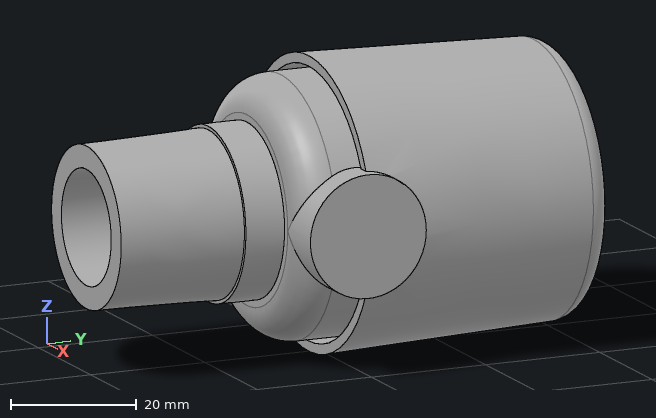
import cadquery as cq

collar_start = 21.4
body_start = 28.1
skirt_rim = 38.9
cap_end = 81.5

spigot_tip_radius = 13.4
spigot_root_radius = 13.9
collar_radius = 28.9 / 2
bore_radius = 19.1 / 2

body_radius = 21.6
body_fillet = 5.95
rim_radius = 48.5 / 2
rim_wall = 1.7
cap_shoulder_radius = 22.9
cap_fillet_length = 3.2
gap_depth = 24.45

port_radius = 20.3 / 2
port_end = 48.6 - rim_radius
port_center = body_start + port_radius

cap_shoulder = cap_end - cap_fillet_length
cap_taper = (rim_radius - cap_shoulder_radius) / (cap_shoulder - skirt_rim)


def cylinder(radius, start, end):
    """Cylinder about the Y axis between two stations."""
    return cq.Workplane("XZ", origin=(0, start, 0)).circle(radius).extrude(start - end)


def revolve_profile(profile):
    """Turn a closed (radius, station) profile about the Y axis."""
    return profile.close().revolve(360, (0, 0, 0), (0, 1, 0))


def make_spigot():
    """Slightly tapered hose spigot."""
    return revolve_profile(
        cq.Workplane("XY")
        .lineTo(spigot_tip_radius, 0)
        .lineTo(spigot_root_radius, collar_start)
        .lineTo(0, collar_start)
    )


def make_body():
    """Round body with a large fillet on its front edge."""
    return cylinder(body_radius, body_start, skirt_rim).faces("<Y").edges().fillet(body_fillet)


def make_cap():
    """Tapered cap with a rounded closed end."""
    return revolve_profile(
        cq.Workplane("XY")
        .moveTo(0, skirt_rim)
        .lineTo(rim_radius, skirt_rim)
        .lineTo(cap_shoulder_radius, cap_shoulder)
        .radiusArc((cap_shoulder_radius - cap_fillet_length, cap_end), -cap_fillet_length)
        .lineTo(0, cap_end)
    )


def make_gap():
    """Narrow ring-shaped gap between the cap skirt and the body."""
    gap_radius = rim_radius - rim_wall
    gap_end = skirt_rim + gap_depth
    return revolve_profile(
        cq.Workplane("XY")
        .moveTo(body_radius, skirt_rim)
        .lineTo(gap_radius, skirt_rim)
        .lineTo(gap_radius - cap_taper * gap_depth, gap_end)
        .lineTo(body_radius, gap_end)
    )


def make_port():
    """Side port running from the body axis towards +X."""
    return cq.Workplane("YZ").center(port_center, 0).circle(port_radius).extrude(port_end)


collar = cylinder(collar_radius, collar_start, body_start)
bore = cylinder(bore_radius, 0, body_start)

result = make_cap().cut(make_gap()).union(make_body())
result = result.union(collar).union(make_spigot()).union(make_port())
result = result.cut(bore)